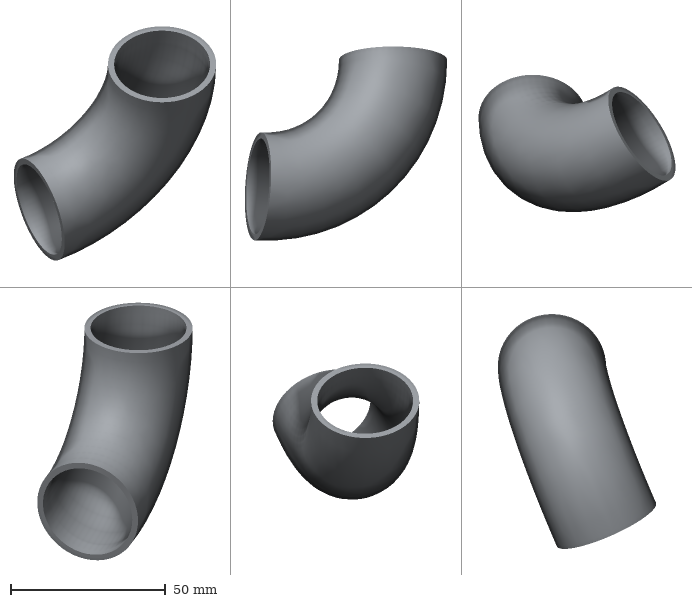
import cadquery as cq

outer_diameter = 35.0
wall_thickness = 2.0
bend_radius = 45.0
bend_angle = 90.0

outer_radius = outer_diameter / 2
bore_radius = outer_radius - wall_thickness

pipe_section = (
    cq.Workplane("XY")
    .center(0, bend_radius)
    .circle(outer_radius)
    .circle(bore_radius)
)

result = pipe_section.revolve(
    bend_angle,
    axisStart=(0, -bend_radius, 0),
    axisEnd=(-1, -bend_radius, 0),
)